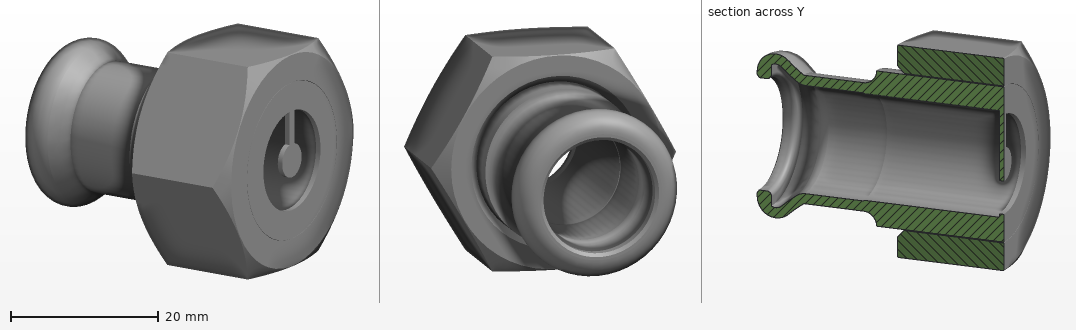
import cadquery as cq
import math

total_length = 37.1
nut_start = 21.07

across_flats = 30.0
across_corners = across_flats / math.cos(math.radians(30))
nut_length = total_length - nut_start
nut_chamfer_face_diameter = 29.83
nut_chamfer_depth = 1.45
nut_bore_diameter = 22.1
nut_mouth_diameter = 24.1

bead_radius = 2.82
bead_center_radius = 8.8
tube_diameter = 18.2
tube_start = 7.0
tube_end = 16.03
collar_diameter = 22.0

mouth_diameter = 16.75
lip_diameter = 15.8
lip_start = 0.35
lip_end = 1.5
lip_rounding = 0.75
socket_diameter = 15.2
socket_bend_radius = 2.15
bore_diameter = 15.0

web_thickness = 0.75
web_opening_diameter = 14.02
disc_diameter = 4.75
stem_width = 1.2


def revolve_about_x(profile):
    """Revolve a profile drawn with X along the axis and Y as the radius."""
    return profile.close().revolve(360, (0, 0, 0), (1, 0, 0))


def bead_point(section_radius, angle):
    """Point on a circle about the bead section's centre, at an angle from the +X direction."""
    return (
        bead_radius + section_radius * math.cos(angle),
        bead_center_radius + section_radius * math.sin(angle),
    )


def flank_angle():
    """Angle on the bead section where a line from the start of the tube is tangent."""
    flank_x = tube_start - bead_radius
    flank_r = tube_diameter / 2 - bead_center_radius
    return math.atan2(flank_r, flank_x) + math.acos(bead_radius / math.hypot(flank_x, flank_r))


def make_fitting_blank():
    """Solid of revolution with the outside shape of the fitting."""
    tube_radius = tube_diameter / 2
    collar_radius = collar_diameter / 2
    fillet_radius = collar_radius - tube_radius
    fillet_middle = (
        tube_end + fillet_radius * math.sin(math.pi / 4),
        collar_radius - fillet_radius * math.cos(math.pi / 4),
    )
    tangent_angle = flank_angle()
    middle_angle = (math.pi + tangent_angle) / 2
    profile = (
        cq.Workplane("XY")
        .moveTo(0, 0)
        .lineTo(0, bead_center_radius)
        .threePointArc(bead_point(bead_radius, middle_angle), bead_point(bead_radius, tangent_angle))
        .lineTo(tube_start, tube_radius)
        .lineTo(tube_end, tube_radius)
        .threePointArc(fillet_middle, (tube_end + fillet_radius, collar_radius))
        .lineTo(total_length, collar_radius)
        .lineTo(total_length, 0)
    )
    return revolve_about_x(profile)


def make_fitting_cavity():
    """Lip, seal groove, socket and bore; the bead wall is as thick as the tube wall."""
    lip_radius = lip_diameter / 2
    socket_radius = socket_diameter / 2
    bore_radius = bore_diameter / 2
    web_start = total_length - web_thickness

    groove_start = lip_end + lip_rounding
    lip_edge_middle = (
        lip_end + lip_rounding * math.sin(math.pi / 4),
        lip_radius + lip_rounding * (1 - math.cos(math.pi / 4)),
    )

    groove_radius = bead_radius - (tube_diameter - socket_diameter) / 2
    wall_angle = math.acos((groove_start - bead_radius) / groove_radius)
    tangent_angle = flank_angle()
    middle_angle = (wall_angle + tangent_angle) / 2
    flank_start = bead_point(groove_radius, tangent_angle)

    slope = math.pi / 2 - tangent_angle
    corner_x = flank_start[0] + (flank_start[1] - socket_radius) / math.tan(slope)
    bend_end = corner_x + socket_bend_radius * math.tan(slope / 2)

    def bend_point(angle):
        return (
            bend_end - socket_bend_radius * math.sin(angle),
            socket_radius + socket_bend_radius * (1 - math.cos(angle)),
        )

    profile = (
        cq.Workplane("XY")
        .moveTo(0, 0)
        .lineTo(0, mouth_diameter / 2)
        .lineTo(lip_start, lip_radius)
        .lineTo(lip_end, lip_radius)
        .threePointArc(lip_edge_middle, (groove_start, lip_radius + lip_rounding))
        .lineTo(*bead_point(groove_radius, wall_angle))
        .threePointArc(bead_point(groove_radius, middle_angle), flank_start)
        .lineTo(*bend_point(slope))
        .threePointArc(bend_point(slope / 2), (bend_end, socket_radius))
        .lineTo(tube_end, socket_radius)
        .lineTo(tube_end, bore_radius)
        .lineTo(web_start, bore_radius)
        .lineTo(web_start, web_opening_diameter / 2)
        .lineTo(total_length, web_opening_diameter / 2)
        .lineTo(total_length, 0)
    )
    return revolve_about_x(profile)


def make_disc_and_stem():
    web_plane = cq.Workplane("YZ").workplane(offset=total_length - web_thickness)
    stem_length = (web_opening_diameter + bore_diameter) / 4
    disc = web_plane.circle(disc_diameter / 2).extrude(web_thickness)
    stem = web_plane.center(0, stem_length / 2).rect(stem_width, stem_length).extrude(web_thickness)
    return disc.union(stem)


def make_fitting():
    return make_fitting_blank().cut(make_fitting_cavity()).union(make_disc_and_stem())


def make_nut_chamfer_envelope():
    """Round blank whose coned ends trim the hexagon corners."""
    corner_radius = across_corners / 2
    face_radius = nut_chamfer_face_diameter / 2
    profile = (
        cq.Workplane("XY")
        .moveTo(nut_start, 0)
        .lineTo(nut_start, face_radius)
        .lineTo(nut_start + nut_chamfer_depth, corner_radius)
        .lineTo(total_length - nut_chamfer_depth, corner_radius)
        .lineTo(total_length, face_radius)
        .lineTo(total_length, 0)
    )
    return revolve_about_x(profile)


def make_nut_bore():
    """Straight bore with a 45 degree countersink on the tube side."""
    bore_radius = nut_bore_diameter / 2
    mouth_radius = nut_mouth_diameter / 2
    profile = (
        cq.Workplane("XY")
        .moveTo(nut_start, 0)
        .lineTo(nut_start, mouth_radius)
        .lineTo(nut_start + mouth_radius - bore_radius, bore_radius)
        .lineTo(total_length, bore_radius)
        .lineTo(total_length, 0)
    )
    return revolve_about_x(profile)


def make_nut():
    hexagon = (
        cq.Workplane("YZ")
        .workplane(offset=nut_start)
        .polygon(6, across_corners)
        .extrude(nut_length)
    )
    return hexagon.intersect(make_nut_chamfer_envelope()).cut(make_nut_bore())


fitting = make_fitting()
nut = make_nut()

result = cq.Compound.makeCompound([fitting.val(), nut.val()])